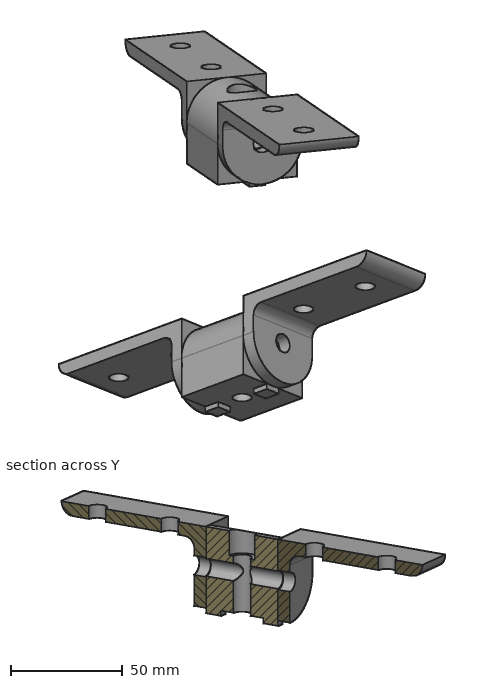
import cadquery as cq
import math

length = 190.5
width = 38.1
radius = width / 2
thickness = 6.3
knuckle_length = width
half_knuckle = knuckle_length / 2
half_length = length / 2

inner_fillet = 4.8
tip_radius = thickness
screw_diameter = 8.8
screw_offsets = (38.1, 76.2)
leaf_pivot_diameter = 8.8

knuckle_pivot_diameter = 8.0
counterbore_diameter = 13.3
counterbore_depth = 11.5
foot_length = 8.0
foot_width = 7.6
foot_height = 2.5


def make_knuckle():
    """Half-round block on the X axis, with feet, a pivot bore and a screw hole."""
    body = (
        cq.Workplane("YZ", origin=(-half_knuckle, 0, 0))
        .moveTo(-radius, -radius)
        .lineTo(radius, -radius)
        .lineTo(radius, 0)
        .threePointArc((0, radius), (-radius, 0))
        .close()
        .extrude(knuckle_length)
    )

    for side in (-1, 1):
        foot = cq.Workplane("XY").box(foot_length, foot_width, foot_height).translate(
            (side * (half_knuckle - foot_length / 2), 0, -radius - foot_height / 2)
        )
        body = body.union(foot)

    pivot = cq.Workplane("YZ").circle(knuckle_pivot_diameter / 2).extrude(half_knuckle, both=True)
    screw = cq.Workplane("XY").circle(screw_diameter / 2).extrude(radius, both=True)
    counterbore = (
        cq.Workplane("XY", origin=(0, 0, radius))
        .circle(counterbore_diameter / 2)
        .extrude(-counterbore_depth)
    )
    return body.cut(pivot).cut(screw).cut(counterbore)


def make_leaf(side):
    """L-shaped leaf; side is -1 for the -X end and +1 for the +X end."""
    inner = side * half_knuckle
    outer = side * (half_knuckle + thickness)
    tip = side * half_length
    plate_bottom = radius - thickness
    diagonal = math.sqrt(0.5)
    fillet_x = outer + side * inner_fillet
    fillet_z = plate_bottom - inner_fillet
    tip_x = tip - side * tip_radius
    body = (
        cq.Workplane("XZ")
        .moveTo(inner, -radius)
        .lineTo(inner, radius)
        .lineTo(tip, radius)
        .threePointArc(
            (tip_x + side * tip_radius * diagonal, radius - tip_radius * diagonal),
            (tip_x, plate_bottom),
        )
        .lineTo(fillet_x, plate_bottom)
        .threePointArc(
            (fillet_x - side * inner_fillet * diagonal, fillet_z + inner_fillet * diagonal),
            (outer, fillet_z),
        )
        .lineTo(outer, -radius)
        .close()
        .extrude(radius, both=True)
    )

    envelope = (
        cq.Workplane("YZ")
        .moveTo(-radius, radius)
        .lineTo(-radius, 0)
        .threePointArc((0, -radius), (radius, 0))
        .lineTo(radius, radius)
        .close()
        .extrude(side * half_length)
    )
    body = body.intersect(envelope)

    pivot = cq.Workplane("YZ").circle(leaf_pivot_diameter / 2).extrude(side * half_length)
    screws = (
        cq.Workplane("XY")
        .pushPoints([(side * offset, 0) for offset in screw_offsets])
        .circle(screw_diameter / 2)
        .extrude(radius)
    )
    return body.cut(pivot).cut(screws)


knuckle = make_knuckle()
leaves = [make_leaf(side) for side in (-1, 1)]

result = cq.Compound.makeCompound([knuckle.val(), *[leaf.val() for leaf in leaves]])